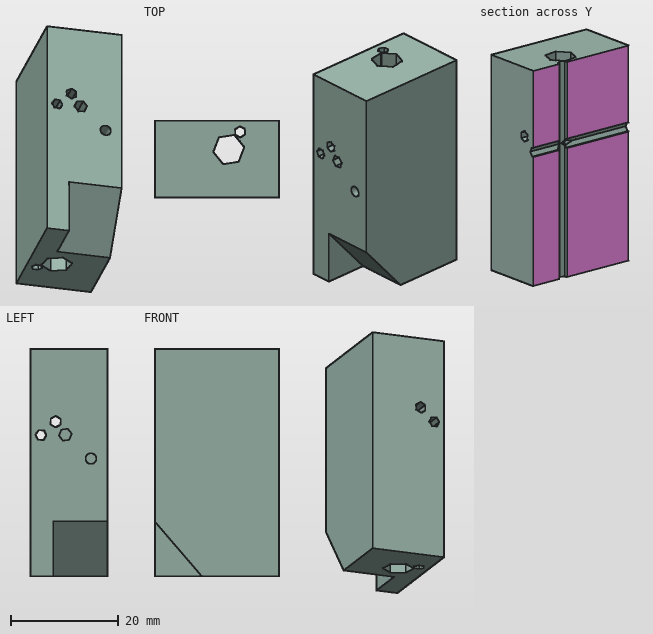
import cadquery as cq
import math

LENGTH = 23.19
WIDTH = 14.38
HEIGHT = 42.38

NOTCH_LENGTH = 8.78
NOTCH_WIDTH = 10.15
NOTCH_HEIGHT = 10.23

MAIN_BORE = ((13.79, 8.98), 2.9, 9.0)
SIDE_BORE = ((15.9, 12.27), 1.02, 33.0)

UPPER_CROSS_HOLE = ((9.68, 28.83), 1.05, 32.0)
REAR_CROSS_HOLE = ((12.41, 26.33), 1.0, 4.0)
BLIND_HEX_HOLE = ((7.87, 26.4), 1.2, -8.0)

PIN_HOLE_CENTER = (3.1, 21.95)
PIN_HOLE_DIAMETER = 2.0

BLIND_DEPTH = 10.0


def hexagon_points(center, radius, angle):
    """Corners of a regular hexagon whose first corner lies at the given angle in degrees."""
    corner_angles = [math.radians(angle + 60.0 * corner) for corner in range(6)]
    return [
        (center[0] + radius * math.cos(a), center[1] + radius * math.sin(a))
        for a in corner_angles
    ]


def hexagon_cutter(plane, hole, depth):
    """Hexagonal prism rising from the given plane."""
    return cq.Workplane(plane).polyline(hexagon_points(*hole)).close().extrude(depth)


def block():
    return cq.Workplane("XY").box(LENGTH, WIDTH, HEIGHT, centered=False)


def notch():
    corners = [(0, 0), (NOTCH_LENGTH, 0), (0, NOTCH_HEIGHT)]
    return cq.Workplane("XZ").polyline(corners).close().extrude(-NOTCH_WIDTH)


def pin_hole():
    return cq.Workplane("YZ").center(*PIN_HOLE_CENTER).circle(PIN_HOLE_DIAMETER / 2).extrude(BLIND_DEPTH)


result = block().cut(notch()).cut(pin_hole())

for vertical_hole in (MAIN_BORE, SIDE_BORE):
    result = result.cut(hexagon_cutter("XY", vertical_hole, HEIGHT))

for cross_hole in (UPPER_CROSS_HOLE, REAR_CROSS_HOLE):
    result = result.cut(hexagon_cutter("YZ", cross_hole, LENGTH))

result = result.cut(hexagon_cutter("YZ", BLIND_HEX_HOLE, BLIND_DEPTH))